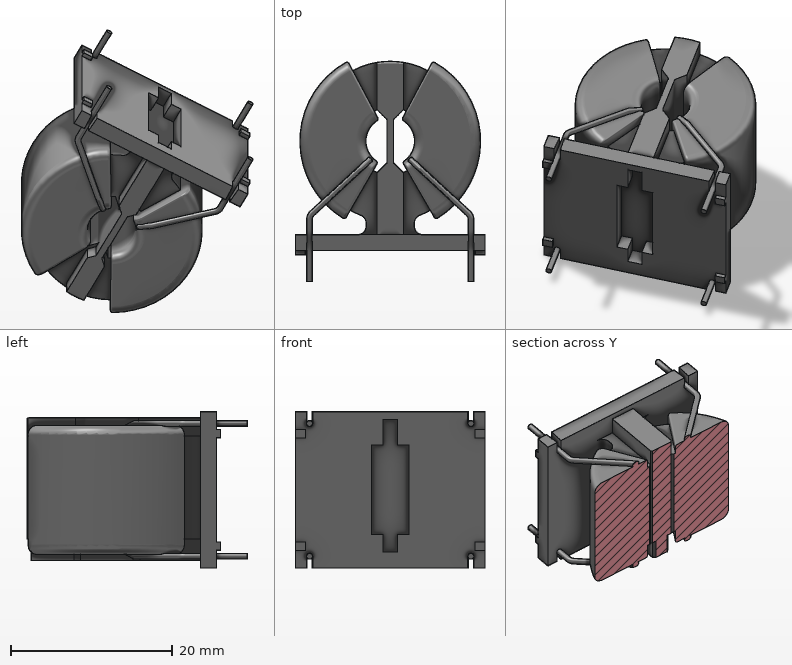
import math

import cadquery as cq


core_radius = 9.9
bore_radius = 4.2
core_top = 6.7
core_bottom = -6.1
foot_half_width = 3.0
foot_fillet = 1.0

web_half_width = 0.41
top_rib_half_width = 1.63
top_rib_z = 8.95
top_web_half_length = 2.68
top_web_fillet = 0.25
top_rib_chamfer_depth = 0.08
top_rib_chamfer_length = 0.27
bottom_rib_half_width = 1.22
bottom_rib_z = -8.75
bottom_rib_end_radius = 9.4
bottom_web_half_length = 3.25

winding_thickness = 1.2
winding_outer_radius = 11.2
winding_inner_radius = bore_radius - winding_thickness
winding_half_height = 8.0
winding_end_fillet = 0.3
winding_upper_angle = 62.0
winding_lower_angle = 60.0

plate_width = 23.5
plate_height = 19.4
plate_thickness = 2.0
plate_back_y = -11.58
plate_front_y = plate_back_y - plate_thickness

standoff_width = 1.25
standoff_height = 1.05
standoff_depth = 0.5
standoff_z = 6.97

recess_half_width = 2.3
recess_half_height = 5.53
recess_neck_half_width = 0.9
recess_neck_top = 8.7
recess_neck_bottom = -7.7

slot_back_half_width = 0.29
slot_front_half_width = 0.4

wire_radius = 0.36
lead_x = 10.0
lead_z = 8.23
lead_tip_y = -17.4
lead_corner_y = -9.25
lead_bend_radius = 1.0
dip_start = (3.75, -3.45)
lead_end = (2.45, -2.25)
lead_end_z = 7.6


def box(x_range, y_range, z_range):
    """Axis-aligned box between pairs of limits."""
    sizes = [high - low for low, high in (x_range, y_range, z_range)]
    corner = (x_range[0], y_range[0], z_range[0])
    return cq.Workplane("XY").box(*sizes, centered=False).translate(corner)


def disc(radius, bottom, top):
    return cq.Workplane("XY").workplane(offset=bottom).circle(radius).extrude(top - bottom)


def make_core():
    """Ring and foot, with fillets where the foot meets the ring and the plate."""
    blend_radius = core_radius + foot_fillet
    blend_x = foot_half_width + foot_fillet
    blend_y = -math.sqrt(blend_radius**2 - blend_x**2)
    ring_x = blend_x * core_radius / blend_radius
    ring_y = blend_y * core_radius / blend_radius
    height = core_top - core_bottom
    foot = (
        cq.Workplane("XY")
        .workplane(offset=core_bottom)
        .moveTo(-ring_x, ring_y)
        .radiusArc((-foot_half_width, blend_y), foot_fillet)
        .lineTo(-foot_half_width, plate_back_y + foot_fillet)
        .radiusArc((-blend_x, plate_back_y), foot_fillet)
        .lineTo(blend_x, plate_back_y)
        .radiusArc((foot_half_width, plate_back_y + foot_fillet), foot_fillet)
        .lineTo(foot_half_width, blend_y)
        .radiusArc((ring_x, ring_y), foot_fillet)
        .close()
        .extrude(height)
    )
    core = disc(core_radius, core_bottom, core_top).union(foot)
    return core.cut(disc(bore_radius, core_bottom, core_top))


def make_rib(half_width, web_half_length, end_radius, bottom, top):
    """Bar along Y, tapered at 45 degrees to the web, with a round end on the +Y side."""
    shoulder = web_half_length + half_width - web_half_width
    outline = [
        (half_width, plate_back_y),
        (half_width, -shoulder),
        (web_half_width, -web_half_length),
        (web_half_width, web_half_length),
        (half_width, shoulder),
        (half_width, end_radius),
    ]
    mirrored = [(-x, y) for x, y in reversed(outline)]
    base = cq.Workplane("XY").workplane(offset=bottom)
    bar = base.polyline(outline + mirrored).close().extrude(top - bottom)
    plate_side = box((-half_width, half_width), (plate_back_y, 0), (bottom, top))
    return bar.intersect(disc(end_radius, bottom, top).union(plate_side))


def make_spine():
    """Top rib, which fills the middle of the core and bore, and the smaller bottom rib."""
    top_rib = make_rib(
        top_rib_half_width, top_web_half_length, core_radius, core_bottom, top_rib_z
    )
    reach_x = web_half_width + top_web_fillet
    reach_y = top_web_half_length + top_web_fillet
    web_corners = cq.selectors.BoxSelector(
        (-reach_x, -reach_y, core_bottom),
        (reach_x, reach_y, top_rib_z),
    )
    top_rib = top_rib.edges(web_corners).edges("|Z").fillet(top_web_fillet)
    rim = top_rib.faces(">Z").edges(">Y")
    top_rib = rim.chamfer(top_rib_chamfer_depth, top_rib_chamfer_length)
    bottom_rib = make_rib(
        bottom_rib_half_width, bottom_web_half_length, bottom_rib_end_radius, bottom_rib_z, core_bottom
    )
    return top_rib.union(bottom_rib)


def make_winding():
    """Winding on the +X side, from the lower end angle to the upper one."""
    depth = winding_outer_radius - winding_inner_radius
    middle = (winding_outer_radius + winding_inner_radius) / 2
    section = (
        cq.Workplane("XZ")
        .sketch()
        .push([(middle, 0)])
        .rect(depth, 2 * winding_half_height)
        .reset()
        .vertices()
        .fillet(winding_thickness)
        .finalize()
    )
    sweep_angle = winding_upper_angle + winding_lower_angle
    sector = section.revolve(sweep_angle, (0, 0, 0), (0, 1, 0))
    sector = sector.rotate((0, 0, 0), (0, 0, 1), -winding_lower_angle)
    return sector.faces("#Z").faces("%PLANE").edges().fillet(winding_end_fillet)


def make_slot():
    """Tapered slot at +X +Z with a conical round end around the wire."""
    opening = (
        cq.Workplane("XY")
        .workplane(offset=lead_z)
        .moveTo(lead_x - slot_back_half_width, plate_back_y)
        .lineTo(lead_x + slot_back_half_width, plate_back_y)
        .lineTo(lead_x + slot_front_half_width, plate_front_y)
        .lineTo(lead_x - slot_front_half_width, plate_front_y)
        .close()
        .extrude(plate_height / 2 - lead_z)
    )
    round_end = cq.Solid.makeCone(
        slot_front_half_width,
        slot_back_half_width,
        plate_thickness,
        pnt=cq.Vector(lead_x, plate_front_y, lead_z),
        dir=cq.Vector(0, 1, 0),
    )
    return opening.union(cq.Workplane(round_end))


def make_plate():
    """Base plate with open wire slots, stand-offs and the recess in the middle."""
    half_width = plate_width / 2
    half_height = plate_height / 2
    plate_y = (plate_front_y, plate_back_y)
    plate = box((-half_width, half_width), plate_y, (-half_height, half_height))
    recess_x = (-recess_half_width, recess_half_width)
    neck_x = (-recess_neck_half_width, recess_neck_half_width)
    plate = plate.cut(box(recess_x, plate_y, (-recess_half_height, recess_half_height)))
    plate = plate.cut(box(neck_x, plate_y, (recess_neck_bottom, recess_neck_top)))

    standoff = box(
        (half_width - standoff_width, half_width),
        (plate_front_y - standoff_depth, plate_front_y),
        (standoff_z - standoff_height / 2, standoff_z + standoff_height / 2),
    )
    for corner_standoff in in_four_corners(standoff):
        plate = plate.union(corner_standoff)
    for corner_slot in in_four_corners(make_slot()):
        plate = plate.cut(corner_slot)
    return plate


def make_lead():
    """Wire at +X +Z: straight pin, bend, slanted run and a dip into the winding."""
    run_x = dip_start[0] - lead_x
    run_y = dip_start[1] - lead_corner_y
    run_length = math.hypot(run_x, run_y)
    turn_angle = math.acos(run_y / run_length)
    setback = lead_bend_radius * math.tan(turn_angle / 2)
    bend_start_y = lead_corner_y - setback
    bend_end = (
        lead_x + setback * run_x / run_length,
        lead_corner_y + setback * run_y / run_length,
    )
    dip_point = cq.Vector(*dip_start, lead_z)
    path = (
        cq.Workplane("XY")
        .workplane(offset=lead_z)
        .moveTo(lead_x, lead_tip_y)
        .lineTo(lead_x, bend_start_y)
        .tangentArcPoint(bend_end, relative=False)
        .lineTo(*dip_start)
        .wire()
        .val()
    )
    dip = cq.Edge.makeLine(dip_point, cq.Vector(*lead_end, lead_end_z))
    path = cq.Wire.assembleEdges(path.Edges() + [dip])
    tip_plane = cq.Plane(origin=(lead_x, lead_tip_y, lead_z), xDir=(1, 0, 0), normal=(0, 1, 0))
    return cq.Workplane(tip_plane).circle(wire_radius).sweep(path, transition="round")


def in_four_corners(feature):
    """The feature and its mirror images across the YZ and XY planes."""
    lower = feature.mirror("XY")
    return [feature, lower, feature.mirror("YZ"), lower.mirror("YZ")]


winding = make_winding()
result = make_core().union(make_spine()).union(make_plate())
result = result.union(winding).union(winding.mirror("YZ"))
for lead in in_four_corners(make_lead()):
    result = result.union(lead)